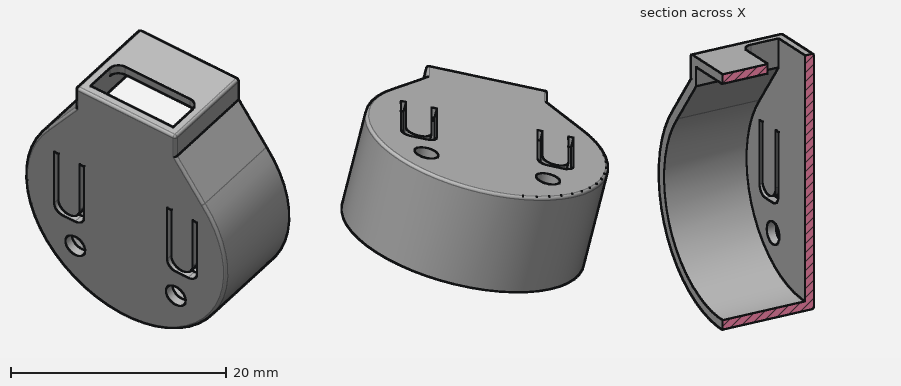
import cadquery as cq
import math

body_radius = 11.587
depth = 9.9
top_height = 25.72 - body_radius
neck_half_width = 5.75
neck_base_height = 11.57
shoulder_angle = math.radians(39.3)
wall = 1.0
edge_radius = 0.28

slot_depth = 4.0
slot_corner_radius = 1.0

tongue_center_x = 6.5
cut_width = 3.42
cut_gap = 0.5
cut_top = 4.7
cut_bottom = -2.75
cut_corner_radius = 1.0
tongue_corner_radius = 1.18

hole_center_x = 5.79
hole_center_z = -5.79
hole_diameter = 2.26


def extrude_back(sketch, start, length):
    """Extrude a sketch on the XZ plane towards +Y, beginning at y = start."""
    return sketch.extrude(-length).translate((0, start, 0))


def body_outline(radius, half_width, top):
    """Round body with two straight shoulders leading to a rectangular neck."""
    shoulder_x = radius * math.cos(shoulder_angle)
    shoulder_z = radius * math.sin(shoulder_angle)
    inset = body_radius - radius
    corner_drop = inset * (1 - math.cos(shoulder_angle)) / math.sin(shoulder_angle)
    corner_z = neck_base_height - corner_drop
    return (
        cq.Workplane("XZ")
        .moveTo(-half_width, top)
        .lineTo(half_width, top)
        .lineTo(half_width, corner_z)
        .lineTo(shoulder_x, shoulder_z)
        .threePointArc((0, -radius), (-shoulder_x, shoulder_z))
        .lineTo(-half_width, corner_z)
        .close()
    )


def make_shell():
    outer = extrude_back(body_outline(body_radius, neck_half_width, top_height), 0, depth)
    outer = outer.faces(">Z").edges("|Y").add(outer.faces("<Y").edges()).fillet(edge_radius)
    inner = body_outline(body_radius - wall, neck_half_width - wall, top_height - wall)
    return outer.cut(extrude_back(inner, wall, depth - wall))


def make_neck_slot():
    slot = cq.Workplane("XY").box(
        2 * (neck_half_width - wall), slot_depth, 2 * wall, centered=(True, False, True)
    )
    slot = slot.edges("|Z and >Y").fillet(slot_corner_radius)
    return slot.translate((0, wall, top_height))


def rounded_tongue(center_x, width, bottom, corner_radius):
    """Upright strip through the front wall with rounded lower corners."""
    height = cut_top - bottom
    sketch = cq.Workplane("XZ").center(center_x, bottom + height / 2).rect(width, height)
    return extrude_back(sketch, 0, wall).edges("|Y and <Z").fillet(corner_radius)


def make_tongue_cut(center_x):
    outside = rounded_tongue(center_x, cut_width, cut_bottom, cut_corner_radius)
    tongue = rounded_tongue(
        center_x, cut_width - 2 * cut_gap, cut_bottom + cut_gap, tongue_corner_radius
    )
    return outside.cut(tongue)


def make_hole(center_x):
    sketch = cq.Workplane("XZ").center(center_x, hole_center_z).circle(hole_diameter / 2)
    return extrude_back(sketch, 0, wall)


result = make_shell().cut(make_neck_slot())
for side in (-1, 1):
    result = result.cut(make_tongue_cut(side * tongue_center_x))
    result = result.cut(make_hole(side * hole_center_x))